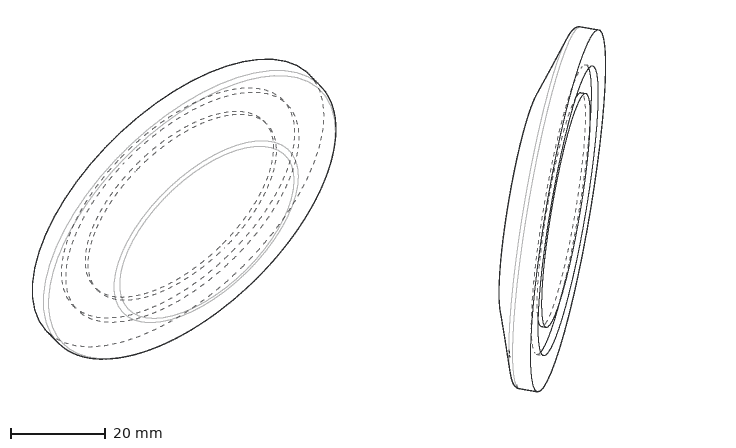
import cadquery as cq
import math

outer_radius = 38.75
thickness = 10.0

rim_height = 4.6
cone_angle = 20.0
rim_fillet = 1.0
face_fillet = 3.9

groove_radius = 31.0
groove_depth = 1.5
pad_radius = 25.0
pad_recess = 0.5

face_radius = outer_radius - (thickness - rim_height) / math.tan(math.radians(cone_angle))


def make_body():
    """Revolve the half section about X and round the rim and face edges."""
    body = (
        cq.Workplane("XY")
        .moveTo(0, 0)
        .lineTo(0, outer_radius)
        .lineTo(rim_height, outer_radius)
        .lineTo(thickness, face_radius)
        .lineTo(thickness, 0)
        .close()
        .revolve(360, (0, 0, 0), (1, 0, 0))
    )
    body = body.faces(">X").edges("%CIRCLE").fillet(face_fillet)
    rim_edge = cq.NearestToPointSelector((rim_height, 0, 0))
    return body.edges("%CIRCLE").edges(rim_edge).fillet(rim_fillet)


def make_back_recess():
    """Material removed from the back: the ring groove and the space over the pad."""
    back = cq.Workplane("YZ")
    groove = back.circle(groove_radius).circle(pad_radius).extrude(groove_depth)
    pad_space = back.circle(pad_radius).extrude(pad_recess)
    return groove.union(pad_space)


result = make_body().cut(make_back_recess())